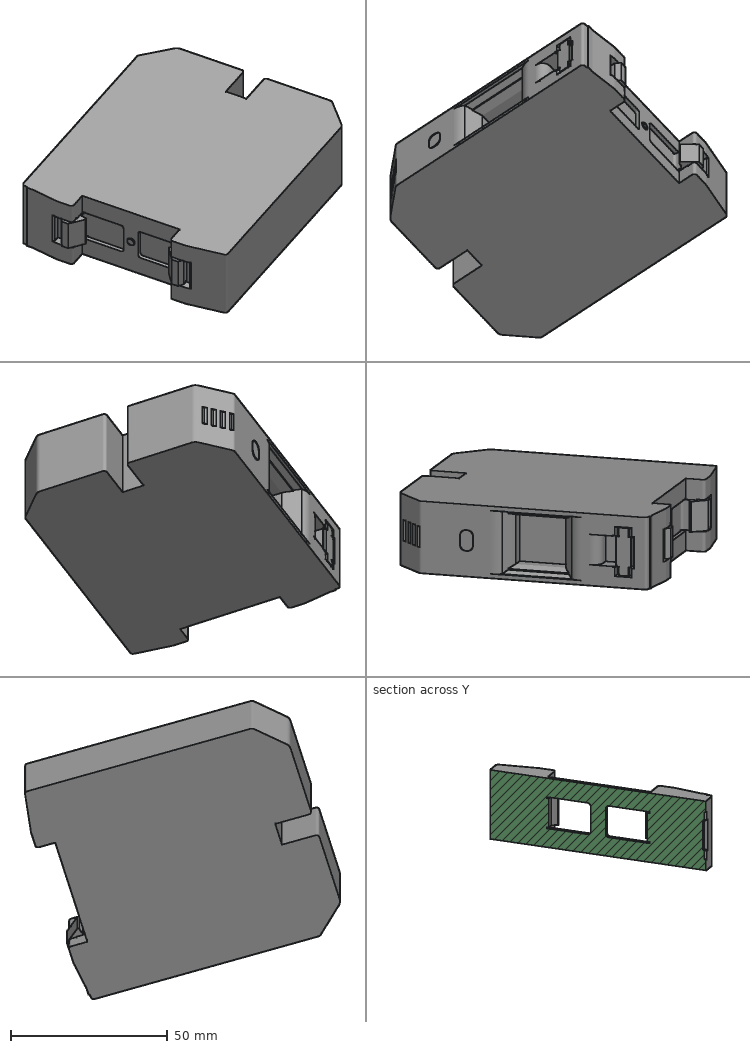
import cadquery as cq
import math

width = 75.0
thickness = 23.8
overall_height = 88.86
top_y = 81.65
clip_tip_y = top_y - overall_height
half_width = width / 2

shoulder_run = 9.2
shoulder_rise = 9.7
shoulder_top_radius = 2.5
shoulder_side_radius = 1.4
top_slot_width = 7.5
top_slot_depth = 12.25
edge_radius = 1.0
foot_y = -6.4
foot_flat_x = 23.6
foot_side_y = -4.3
rail_half_gap = 17.85
pad_outer_x = 35.4
pad_inner_x = 33.2

clip_width = 10.0
clip_clearance = 0.3
channel_width = clip_width + 2 * clip_clearance
clip_root_y = 3.2
clip_neck_x = 17.25
clip_root_radius = 0.9
clip_profile = [
    (clip_neck_x, clip_root_y),
    (clip_neck_x, -1.4),
    (16.6, -1.7),
    (15.25, -2.0),
    (15.25, -2.6),
    (19.0, clip_tip_y),
    (21.3, clip_tip_y),
    (22.4, -5.5),
    (22.4, clip_root_y),
]
foot_recess_outer_x = 25.5
foot_recess_wall_x = 24.8
foot_recess_rim_y = -5.7
foot_recess_floor_y = -3.6
foot_recess_open_y = -8.0
seat_pocket_inner_x = 2.7
seat_pocket_outer_x = rail_half_gap
seat_pocket_depth = 1.4
seat_pocket_radius = 1.0
seat_stud_radius = 1.4
seat_stud_taper = 30
seat_stud_height = 0.3

connector_depth = 10.7
lip_depth = 1.1
ledge_depth = 3.4
bend_depth = 5.0
throat_depth = 6.5
lip_y = (17.9, 48.2)
mouth_y = (21.25, 44.65)
bend_y = (24.1, 42.5)
throat_y = (24.9, 41.75)
mouth_half_height = 10.4
ledge_outer_half_height = 9.5
ledge_inner_half_height = 9.1
throat_half_height = 8.15

window_high_y = 14.85
window_low_y = 6.4
window_half_height = 5.0
window_depth = 6.0
window_lip_run = 3.4
window_lip_drop = 3.2
latch_arm_y = (1.9, 5.1)
latch_arm_half_height = 7.9
latch_middle_y = (1.1, 5.95)
latch_middle_half_height = 5.0
latch_arm_gap_y = (0.75, 6.4)
latch_arm_gap_half_height = 8.2
latch_middle_gap_y = (-0.1, 7.2)
latch_middle_gap_half_height = 5.3
latch_gap_depth = 1.0
latch_gap_taper = 28.0

dimple_y = 56.3
dimple_width = 4.4
dimple_height = 6.9
dimple_depth = 0.2
dimple_radius = 2.0

grip_half_height = 3.4
grip_groove_count = 4
grip_first_drop = 2.4
grip_pitch_y = 2.25
grip_groove_run_y = 1.2
grip_groove_depth = 0.4


def prism(points, height):
    """Extrude a closed XY outline, centred on Z."""
    return cq.Workplane("XY").polyline(points).close().extrude(height / 2, both=True)


def box(x_range, y_range, half_height):
    """Box between two X and two Y limits, centred on Z."""
    (x0, x1), (y0, y1) = x_range, y_range
    return prism([(x0, y0), (x1, y0), (x1, y1), (x0, y1)], 2 * half_height)


def mirrored(shape):
    """The shape together with its mirror image across X = 0."""
    return shape.union(shape.mirror("YZ"))


def fillet_upright_edges(body, points, radius):
    """Round the edges parallel to Z at the given XY points and their mirror images."""
    for x, y in points:
        for side in (-1, 1):
            body = body.edges(cq.selectors.NearestToPointSelector((side * x, y, 0))).fillet(radius)
    return body


def underside_y(x):
    """Height of the sloped underside of a foot at a distance x from the centre."""
    slope = (foot_side_y - foot_y) / (half_width - foot_flat_x)
    return foot_y + slope * (x - foot_flat_x)


def make_body():
    """Housing block with bevelled shoulders, a slot in the top edge and two feet."""
    slot_x = top_slot_width / 2
    shoulder_top = (half_width - shoulder_run, top_y)
    shoulder_side = (half_width, top_y - shoulder_rise)
    slot_mouth = (slot_x, top_y)
    foot_side = (half_width, foot_side_y)
    foot_inner = (rail_half_gap, foot_y)
    right_half = [
        (slot_x, top_y - top_slot_depth),
        slot_mouth,
        shoulder_top,
        shoulder_side,
        foot_side,
        (foot_flat_x, foot_y),
        foot_inner,
        (rail_half_gap, 0),
    ]
    left_half = [(-x, y) for x, y in reversed(right_half)]
    body = prism(right_half + left_half, thickness)
    body = fillet_upright_edges(body, [shoulder_top], shoulder_top_radius)
    body = fillet_upright_edges(body, [shoulder_side], shoulder_side_radius)
    return fillet_upright_edges(body, [slot_mouth, foot_side, foot_inner], edge_radius)


def make_pad():
    """Small wedge that levels the left end of the sloped underside."""
    pad_y = underside_y(pad_inner_x)
    return prism([(-pad_outer_x, pad_y), (-pad_inner_x, pad_y), (-pad_outer_x, foot_side_y)], thickness)


def make_foot_recesses():
    """Recess around each clip, with a sloped rim on its outer side."""
    rim_depth = foot_recess_rim_y - underside_y(foot_recess_outer_x)
    rim_slope = (foot_recess_outer_x - foot_recess_wall_x) / rim_depth
    open_x = foot_recess_wall_x + rim_slope * (foot_recess_rim_y - foot_recess_open_y)
    recess = prism(
        [
            (foot_recess_wall_x, foot_recess_floor_y),
            (foot_recess_wall_x, foot_recess_rim_y),
            (open_x, foot_recess_open_y),
            (rail_half_gap, foot_recess_open_y),
            (rail_half_gap, foot_recess_floor_y),
        ],
        channel_width,
    )
    return mirrored(recess)


def make_seat_pockets():
    pocket = box((seat_pocket_inner_x, seat_pocket_outer_x), (0, seat_pocket_depth), channel_width / 2)
    return mirrored(pocket.edges("|Y and <X").fillet(seat_pocket_radius))


def make_clips():
    return mirrored(prism(clip_profile, clip_width))


def make_seat_stud():
    return cq.Workplane("XZ").circle(seat_stud_radius).extrude(seat_stud_height, taper=seat_stud_taper)


def arc_middle(run, drop):
    """Middle of an arc of the given run and drop that starts tangent to the run."""
    sweep = 2 * math.atan2(drop, run)
    radius = run / math.sin(sweep)
    return radius * math.sin(sweep / 2), radius * (1 - math.cos(sweep / 2))


def make_connector_pocket():
    """Stepped funnel: the overlap of its lengthwise and its upright section."""
    lengthwise = make_connector_lengthwise_section()
    upright = make_connector_upright_section()
    return lengthwise.intersect(upright)


def make_connector_lengthwise_section():
    """Section in XY: rounded lips, sloped walls with a bend, straight well."""
    lip_x = lip_depth - half_width
    bend_x = bend_depth - half_width
    throat_x = throat_depth - half_width
    floor_x = connector_depth - half_width
    low_run, low_drop = arc_middle(mouth_y[0] - lip_y[0], lip_depth)
    high_run, high_drop = arc_middle(lip_y[1] - mouth_y[1], lip_depth)
    return (
        cq.Workplane("XY")
        .moveTo(-half_width, lip_y[0])
        .threePointArc((low_drop - half_width, lip_y[0] + low_run), (lip_x, mouth_y[0]))
        .lineTo(bend_x, bend_y[0])
        .lineTo(throat_x, throat_y[0])
        .lineTo(floor_x, throat_y[0])
        .lineTo(floor_x, throat_y[1])
        .lineTo(throat_x, throat_y[1])
        .lineTo(bend_x, bend_y[1])
        .lineTo(lip_x, mouth_y[1])
        .threePointArc((high_drop - half_width, lip_y[1] - high_run), (-half_width, lip_y[1]))
        .close()
        .extrude(mouth_half_height, both=True)
    )


def make_connector_upright_section():
    """Section in XZ: sloped wall, small ledge, tapered throat, straight well."""
    lip_x = lip_depth - half_width
    ledge_x = ledge_depth - half_width
    throat_x = throat_depth - half_width
    floor_x = connector_depth - half_width
    upper_half = (
        cq.Workplane("XZ")
        .moveTo(-half_width, 0)
        .lineTo(-half_width, mouth_half_height)
        .lineTo(lip_x, mouth_half_height)
        .lineTo(ledge_x, ledge_outer_half_height)
        .lineTo(ledge_x, ledge_inner_half_height)
        .lineTo(throat_x, throat_half_height)
        .lineTo(floor_x, throat_half_height)
        .lineTo(floor_x, 0)
        .close()
        .extrude(-top_y)
    )
    return upper_half.union(upper_half.mirror("XY"))


def make_finger_window():
    floor_x = window_depth - half_width
    wall_x = window_lip_drop - half_width
    wall_y = window_high_y - window_lip_run
    mid_run, mid_drop = arc_middle(window_lip_run, window_lip_drop)
    return (
        cq.Workplane("XY")
        .moveTo(-half_width, window_high_y)
        .threePointArc((mid_drop - half_width, window_high_y - mid_run), (wall_x, wall_y))
        .lineTo(floor_x, wall_y)
        .lineTo(floor_x, window_low_y)
        .lineTo(-half_width, window_low_y)
        .close()
        .extrude(window_half_height, both=True)
    )


def side_recess(y_range, half_height, depth, taper):
    """Rectangular recess in the left side, narrowing with depth."""
    y0, y1 = y_range
    return (
        cq.Workplane("YZ", origin=(-half_width, (y0 + y1) / 2, 0))
        .rect(y1 - y0, 2 * half_height)
        .extrude(depth, taper=taper)
    )


def make_latch_gap():
    arms = side_recess(latch_arm_gap_y, latch_arm_gap_half_height, latch_gap_depth, latch_gap_taper)
    middle = side_recess(latch_middle_gap_y, latch_middle_gap_half_height, latch_gap_depth, latch_gap_taper)
    return arms.union(middle)


def make_latch():
    x_range = (-half_width, latch_gap_depth - half_width)
    arms = box(x_range, latch_arm_y, latch_arm_half_height)
    middle = box(x_range, latch_middle_y, latch_middle_half_height)
    return arms.union(middle)


def make_dimple():
    dimple = (
        cq.Workplane("YZ", origin=(-half_width, dimple_y, 0))
        .rect(dimple_width, dimple_height)
        .extrude(dimple_depth)
    )
    return dimple.edges("|X").fillet(dimple_radius)


def make_grip_grooves():
    """V grooves across the left shoulder bevel."""
    bevel_length = math.hypot(shoulder_run, shoulder_rise)
    inward_x = grip_groove_depth * shoulder_rise / bevel_length
    inward_y = -grip_groove_depth * shoulder_run / bevel_length

    def bevel_point(drop):
        """Point on the bevel at a given drop below the top edge."""
        return shoulder_run * (1 - drop / shoulder_rise) - half_width, top_y - drop

    grooves = cq.Workplane("XY")
    for index in range(grip_groove_count):
        centre = grip_first_drop + index * grip_pitch_y
        x, y = bevel_point(centre)
        profile = [
            bevel_point(centre - grip_groove_run_y / 2),
            bevel_point(centre + grip_groove_run_y / 2),
            (x + inward_x, y + inward_y),
        ]
        grooves = grooves.add(prism(profile, 2 * grip_half_height))
    return grooves.combine()


body = make_body().union(make_pad())
body = body.cut(make_foot_recesses()).cut(make_seat_pockets())
body = body.union(make_clips()).union(make_seat_stud())
body = fillet_upright_edges(body, [(clip_neck_x, seat_pocket_depth)], clip_root_radius)
body = body.cut(make_connector_pocket())
body = body.cut(make_latch_gap()).union(make_latch()).cut(make_finger_window())
body = body.cut(make_dimple())
result = body.cut(make_grip_grooves())